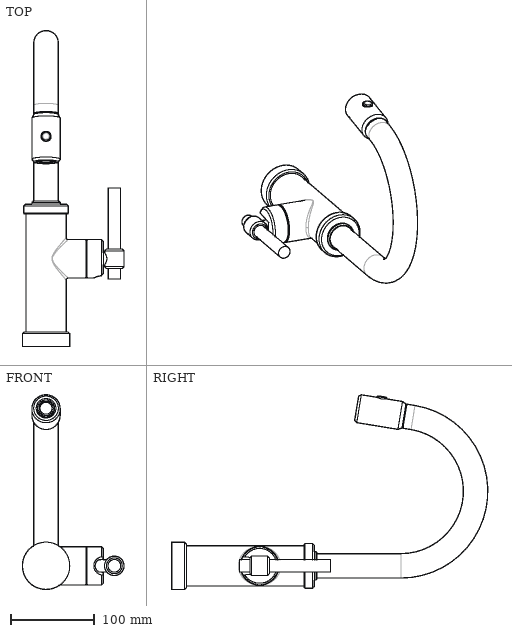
import cadquery as cq
import math


flange_radius = 28.5
flange_length = 17.8
barrel_radius = 24.2
ring_bottom = 158.5
ring_radius = 27.0
ring_length = 12.0
ring_bottom_chamfer = 1.0
rim_chamfer = 2.3

seat_radius = 17.0
seat_length = 3.5
seat_chamfer = 1.5

tube_radius = 14.7
bend_centre_y = 274.2
spout_back_y = 378.2
bend_radius = spout_back_y - bend_centre_y - tube_radius
end_rise_angle = 9.3
tube_end_length = 10.0

rise = math.radians(end_rise_angle)
end_direction = cq.Vector(0, -math.cos(rise), math.sin(rise))
end_up = cq.Vector(0, math.sin(rise), math.cos(rise))
bend_centre = cq.Vector(0, bend_centre_y, bend_radius)
bend_end = bend_centre + end_up * bend_radius
tube_end = bend_end + end_direction * tube_end_length

neck_radius = 13.0
neck_length = 1.0
head_radius = 17.0
head_length = 57.5
head_taper = 2.3
head_back_taper_length = 4.5
head_front_taper_length = 3.0
face_groove_outer_radius = 11.7
face_groove_inner_radius = 7.0
face_groove_slope = 1.5
face_groove_depth = 1.0
button_radius = 6.0
button_height = 2.0
button_chamfer = 1.0
button_distance = 30.5
dish_radius = 3.8
dish_depth = 0.8

valve_y = 105.0
valve_radius = 23.0
valve_length = 68.5
valve_root_fillet = 2.3
cap_seam_x = 48.5
seam_width = 1.5
seam_depth = 0.8
cap_chamfer = 2.3
slot_mouth_radius = 11.5
slot_end_radius = 8.0
socket_depth = 11.5

stem_radius = 7.5
collar_radius = 11.7
collar_length = 23.5
collar_chamfer = 2.3
lever_x = 81.7
rod_radius = 7.5
rod_bottom = 81.0
rod_top = 190.0


def cylinder(start, direction, radius, length):
    """Solid cylinder whose axis runs from start along direction."""
    solid = cq.Solid.makeCylinder(radius, length, cq.Vector(*start), cq.Vector(*direction))
    return cq.Workplane(obj=solid)


def make_column():
    """Revolved column, from the base flange up to the spout seat."""
    ring_top = ring_bottom + ring_length
    seat_top = ring_top + seat_length
    profile = (
        cq.Workplane("XY")
        .moveTo(0, 0)
        .lineTo(flange_radius, 0)
        .lineTo(flange_radius, flange_length - rim_chamfer)
        .lineTo(flange_radius - rim_chamfer, flange_length)
        .lineTo(barrel_radius, flange_length)
        .lineTo(barrel_radius, ring_bottom)
        .lineTo(ring_radius - ring_bottom_chamfer, ring_bottom)
        .lineTo(ring_radius, ring_bottom + ring_bottom_chamfer)
        .lineTo(ring_radius, ring_top - rim_chamfer)
        .lineTo(ring_radius - rim_chamfer, ring_top)
        .lineTo(seat_radius, ring_top)
        .lineTo(seat_radius, seat_top - seat_chamfer)
        .lineTo(seat_radius - seat_chamfer, seat_top)
        .lineTo(0, seat_top)
        .close()
    )
    return profile.revolve(360, (0, 0, 0), (0, 1, 0))


def make_valve():
    """Branch and cap as one cylinder along +X, chamfered at the cap's end."""
    valve = cylinder((0, valve_y, 0), (1, 0, 0), valve_radius, valve_length)
    return valve.faces(">X").chamfer(cap_chamfer)


def fillet_valve_root(body):
    """Fillet where the branch meets the barrel: the only curved edges there that are not circles."""
    reach = valve_radius + valve_root_fillet
    around_root = cq.selectors.BoxSelector(
        (0, valve_y - reach, -reach),
        (barrel_radius + valve_root_fillet, valve_y + reach, reach),
        boundingbox=True,
    )
    root = body.edges(around_root).edges("not (%CIRCLE or %LINE)")
    return root.fillet(valve_root_fillet)


def cut_seam(body):
    """Shallow groove around the branch where the cap begins."""
    seam_start = (cap_seam_x - seam_width / 2, valve_y, 0)
    outside = cylinder(seam_start, (1, 0, 0), valve_radius + seam_width, seam_width)
    core = cylinder(seam_start, (1, 0, 0), valve_radius - seam_depth, seam_width)
    return body.cut(outside.cut(core))


def cut_lever_slot(body):
    """Tapered round-bottomed slot, widening from just above the stem towards -Y, and the stem's socket."""
    centre = (valve_length, valve_y, 0)
    slot_top = cq.Vector(valve_length, valve_y + slot_end_radius, 0)
    slot_length = slot_end_radius + valve_radius
    outward = cq.Vector(0, -1, 0)
    slot = cq.Solid.makeCone(slot_end_radius, slot_mouth_radius, slot_length, slot_top, outward)
    socket = cylinder(centre, (-1, 0, 0), stem_radius, socket_depth)
    return body.cut(cq.Workplane(obj=slot)).cut(socket)


def make_spout():
    """Round bar swept from the seat through the bend to the spout's end."""
    tube_start_y = ring_bottom + ring_length
    path = (
        cq.Workplane("YZ")
        .moveTo(tube_start_y, 0)
        .lineTo(bend_centre_y, 0)
        .threePointArc((bend_centre_y + bend_radius, bend_radius), (bend_end.y, bend_end.z))
        .lineTo(tube_end.y, tube_end.z)
    )
    return cq.Workplane("XZ", origin=(0, tube_start_y, 0)).circle(tube_radius).sweep(path)


def make_head():
    """Spray head, revolved about the spout's end axis; it starts with a thin neck behind the tube's end."""
    across = cq.Vector(1, 0, 0)
    frame = cq.Plane(origin=tube_end, xDir=across, normal=across.cross(end_direction))
    head_end = neck_length + head_length
    groove_floor = head_end - face_groove_depth
    head = (
        cq.Workplane(frame)
        .moveTo(0, 0)
        .lineTo(neck_radius, 0)
        .lineTo(neck_radius, neck_length)
        .lineTo(head_radius - head_taper, neck_length)
        .lineTo(head_radius, neck_length + head_back_taper_length)
        .lineTo(head_radius, head_end - head_front_taper_length)
        .lineTo(head_radius - head_taper, head_end)
        .lineTo(face_groove_outer_radius, head_end)
        .lineTo(face_groove_outer_radius - face_groove_slope, groove_floor)
        .lineTo(face_groove_inner_radius + face_groove_slope, groove_floor)
        .lineTo(face_groove_inner_radius, head_end)
        .lineTo(0, head_end)
        .close()
        .revolve(360, (0, 0, 0), (0, 1, 0))
    )
    return head.union(make_button())


def make_button():
    """Chamfered button with a shallow conical dish on top of the spray head, revolved about its own axis."""
    across = cq.Vector(1, 0, 0)
    button_base = tube_end + end_direction * button_distance
    frame = cq.Plane(origin=button_base, xDir=across, normal=across.cross(end_up))
    top = head_radius + button_height
    return (
        cq.Workplane(frame)
        .moveTo(0, 0)
        .lineTo(button_radius, 0)
        .lineTo(button_radius, top - button_chamfer)
        .lineTo(button_radius - button_chamfer, top)
        .lineTo(dish_radius, top)
        .lineTo(0, top - dish_depth)
        .close()
        .revolve(360, (0, 0, 0), (0, 1, 0))
    )


def make_faucet():
    """The fixed body: column, valve branch with its cap, spout and spray head."""
    body = fillet_valve_root(make_column().union(make_valve()))
    body = body.union(make_spout()).union(make_head())
    return cut_lever_slot(cut_seam(body))


def make_lever():
    """Stem reaching into the cap, with a collar that holds the upright rod."""
    rod = cylinder((lever_x, rod_bottom, 0), (0, 1, 0), rod_radius, rod_top - rod_bottom)
    collar = cylinder((lever_x, valve_y - collar_length / 2, 0), (0, 1, 0), collar_radius, collar_length)
    collar = collar.faces("<Y or >Y").chamfer(collar_chamfer)
    stem_start = valve_length - socket_depth
    stem = cylinder((stem_start, valve_y, 0), (1, 0, 0), stem_radius, lever_x - stem_start)
    return stem.union(collar).union(rod)


faucet = make_faucet()
lever = make_lever()
result = cq.Compound.makeCompound([faucet.solids().val(), lever.solids().val()])